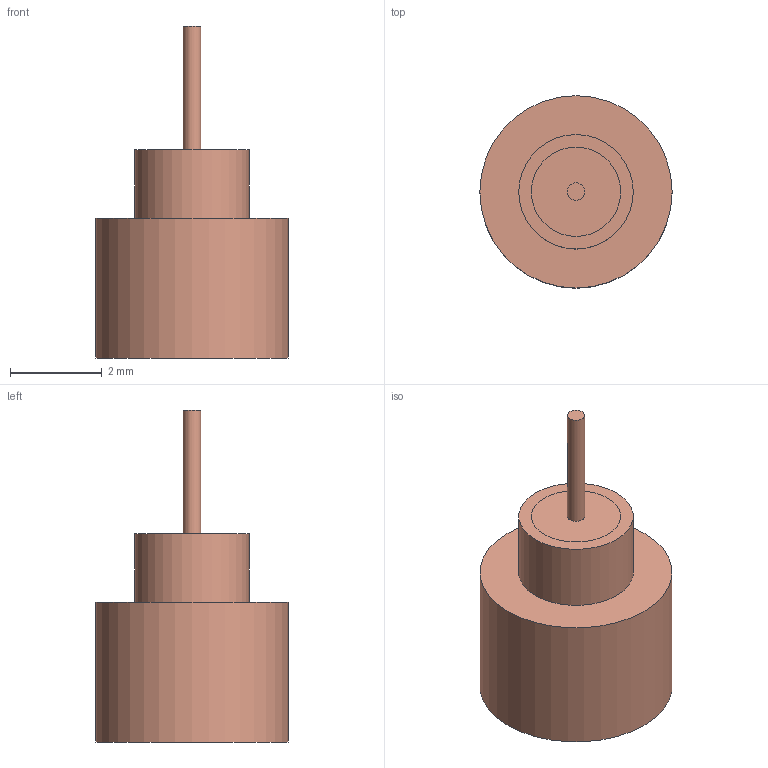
import cadquery as cq

BODY_DIAMETER = 4.2
NECK_DIAMETER = 2.5
SEAL_DIAMETER = 1.95
PIN_DIAMETER = 0.38

TOTAL_HEIGHT = 7.25
BODY_HEIGHT = 3.05
NECK_HEIGHT = 1.5

SHELL_HEIGHT = BODY_HEIGHT + NECK_HEIGHT


def cylinder(diameter, bottom, top):
    """Solid cylinder on the Z axis between two heights."""
    return cq.Workplane("XY").workplane(offset=bottom).circle(diameter / 2).extrude(top - bottom)


def make_shell():
    """Stepped shell with a bore through the neck that holds the seal."""
    body = cylinder(BODY_DIAMETER, 0, BODY_HEIGHT)
    neck = cylinder(NECK_DIAMETER, BODY_HEIGHT, SHELL_HEIGHT)
    bore = cylinder(SEAL_DIAMETER, BODY_HEIGHT, SHELL_HEIGHT)
    return body.union(neck).cut(bore)


def make_seal():
    """Seal that fills the neck bore flush with the rim."""
    return cylinder(SEAL_DIAMETER, BODY_HEIGHT, SHELL_HEIGHT)


def make_pin():
    """Thin contact pin standing on the seal."""
    return cylinder(PIN_DIAMETER, SHELL_HEIGHT, TOTAL_HEIGHT)


result = make_shell().union(make_seal(), clean=False).union(make_pin(), clean=False)